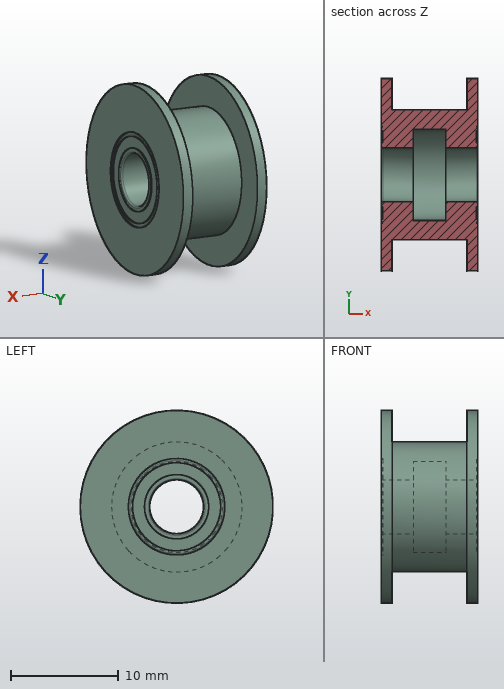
import cadquery as cq
import math

width = 9.0
flange_diameter = 18.0
flange_thickness = 1.0
core_diameter = 12.15

bearing_diameter = 9.0
bearing_width = 3.0
shoulder_diameter = 8.5
bore_diameter = 5.0
edge_radius = 0.15
shield_outer_diameter = 8.2
shield_inner_diameter = 6.0
shield_depth = 0.1

half_width = width / 2


def disc(diameter, length):
    """Solid cylinder along X, centred on the origin."""
    return cq.Workplane("YZ", origin=(-length / 2, 0, 0)).circle(diameter / 2).extrude(length)


def revolve_about_x(profile):
    """Close a profile in the XY plane and spin it around the pulley axis."""
    return profile.close().revolve(360, (0, 0, 0), (1, 0, 0))


def edge_rounding(radius, direction):
    """Material to remove at the left face, between a cylinder and its rounded edge.

    direction is -1 when the rounding runs toward the axis, +1 when it runs away from it.
    """
    arc_inset = edge_radius * (1 - math.sqrt(0.5))
    return revolve_about_x(
        cq.Workplane("XY")
        .moveTo(-half_width, radius)
        .lineTo(-half_width + edge_radius, radius)
        .threePointArc(
            (-half_width + arc_inset, radius + direction * arc_inset),
            (-half_width, radius + direction * edge_radius),
        )
    )


def shield_recess():
    """Shallow ring between the bearing races at the left face."""
    return (
        cq.Workplane("YZ", origin=(-half_width, 0, 0))
        .circle(shield_outer_diameter / 2)
        .circle(shield_inner_diameter / 2)
        .extrude(shield_depth)
    )


belt_width = width - 2 * flange_thickness
belt_groove = disc(flange_diameter, belt_width).cut(disc(core_diameter, belt_width))
result = disc(flange_diameter, width).cut(belt_groove).cut(disc(bore_diameter, width))
result = result.cut(disc(shoulder_diameter, width - 2 * bearing_width))

face_cuts = [
    edge_rounding(bearing_diameter / 2, -1),
    edge_rounding(bore_diameter / 2, 1),
    shield_recess(),
]
for face_cut in face_cuts:
    result = result.cut(face_cut).cut(face_cut.mirror("YZ"))